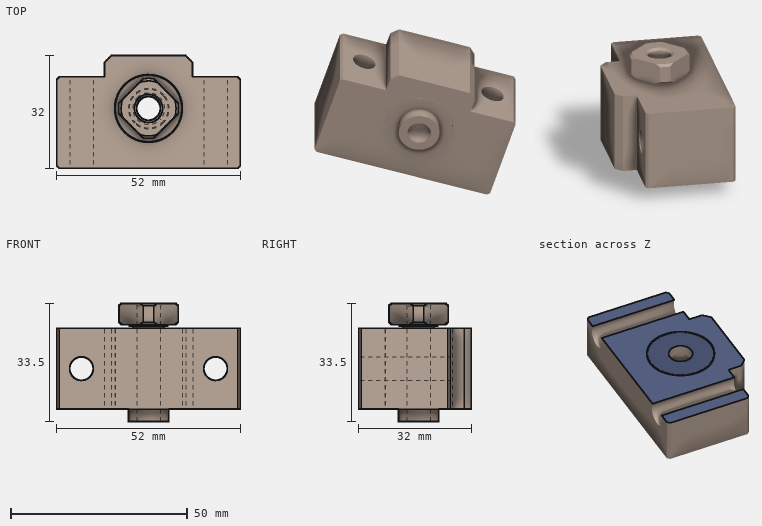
import cadquery as cq


block_width = 52.0
block_depth = 26.0
block_height = 23.0
axis_to_front = 17.0
corner_chamfer = 0.75

tab_width = 25.0
tab_depth = 6.0
tab_chamfer = 2.0

mount_hole_diameter = 6.6
mount_hole_spacing = 38.0
mount_hole_height = block_height / 2

cartridge_diameter = 19.0
bore_clearance = 0.05
housing_bore_diameter = cartridge_diameter + 2 * bore_clearance

spacer_diameter = 11.5
spacer_length = 3.5
neck_diameter = 9.0
neck_length = 0.5
washer_face_diameter = 11.0
washer_face_thickness = 0.4

nut_across_flats = 14.0
nut_across_corners = 17.0
nut_height = 6.1
nut_top_chamfer = 0.7
nut_bottom_chamfer = 0.8
nut_turn_angle = 45.0

thread_minor_diameter = 6.65
thread_major_diameter = 8.0

neck_top = block_height + neck_length
nut_bottom = neck_top + washer_face_thickness
nut_top = nut_bottom + nut_height

front_y = -axis_to_front
back_y = front_y + block_depth


def disc(diameter, bottom, height):
    """Cylinder on the bearing axis, standing on the given level."""
    return cq.Workplane("XY").workplane(offset=bottom).circle(diameter / 2).extrude(height)


def make_housing():
    """Block with a chamfered tab at the back, a through bore and two mounting holes."""
    block = (
        cq.Workplane("XY")
        .box(block_width, block_depth, block_height, centered=(True, False, False))
        .edges("|Z")
        .chamfer(corner_chamfer)
        .translate((0, front_y, 0))
    )
    tab = (
        cq.Workplane("XY")
        .box(tab_width, tab_depth, block_height, centered=(True, False, False))
        .edges("|Z and >Y")
        .chamfer(tab_chamfer)
        .translate((0, back_y, 0))
    )
    mount_holes = (
        cq.Workplane("XZ", origin=(0, front_y, mount_hole_height))
        .rarray(mount_hole_spacing, 1, 2, 1)
        .circle(mount_hole_diameter / 2)
        .extrude(-block_depth)
    )
    bore = disc(housing_bore_diameter, 0, block_height)
    return block.union(tab).cut(mount_holes).cut(bore)


def make_nut():
    """Square nut, turned by 45 degrees, with its corners rounded and chamfered on a lathe."""
    square = (
        cq.Workplane("XY")
        .workplane(offset=nut_bottom)
        .rect(nut_across_flats, nut_across_flats)
        .extrude(nut_height)
        .rotate((0, 0, 0), (0, 0, 1), nut_turn_angle)
    )
    turned_blank = (
        disc(nut_across_corners, nut_bottom, nut_height)
        .faces(">Z").chamfer(nut_top_chamfer)
        .faces("<Z").chamfer(nut_bottom_chamfer)
    )
    return square.intersect(turned_blank)


def make_thread_bore():
    """Through bore with a countersink that opens to the major diameter at the top of the nut."""
    bore_radius = thread_minor_diameter / 2
    mouth_radius = thread_major_diameter / 2
    countersink_depth = mouth_radius - bore_radius
    return (
        cq.Workplane("XZ")
        .moveTo(0, -spacer_length)
        .lineTo(bore_radius, -spacer_length)
        .lineTo(bore_radius, nut_top - countersink_depth)
        .lineTo(mouth_radius, nut_top)
        .lineTo(0, nut_top)
        .close()
        .revolve(360, (0, 0), (0, 1))
    )


def make_cartridge():
    """Round insert with the spacer below it and the neck, washer face and nut above it."""
    return (
        disc(cartridge_diameter, 0, block_height)
        .union(disc(spacer_diameter, -spacer_length, spacer_length))
        .union(disc(neck_diameter, block_height, neck_length))
        .union(disc(washer_face_diameter, neck_top, washer_face_thickness))
        .union(make_nut())
        .cut(make_thread_bore())
    )


housing = make_housing()
cartridge = make_cartridge()

result = cq.Compound.makeCompound([housing.solids().val(), cartridge.solids().val()])